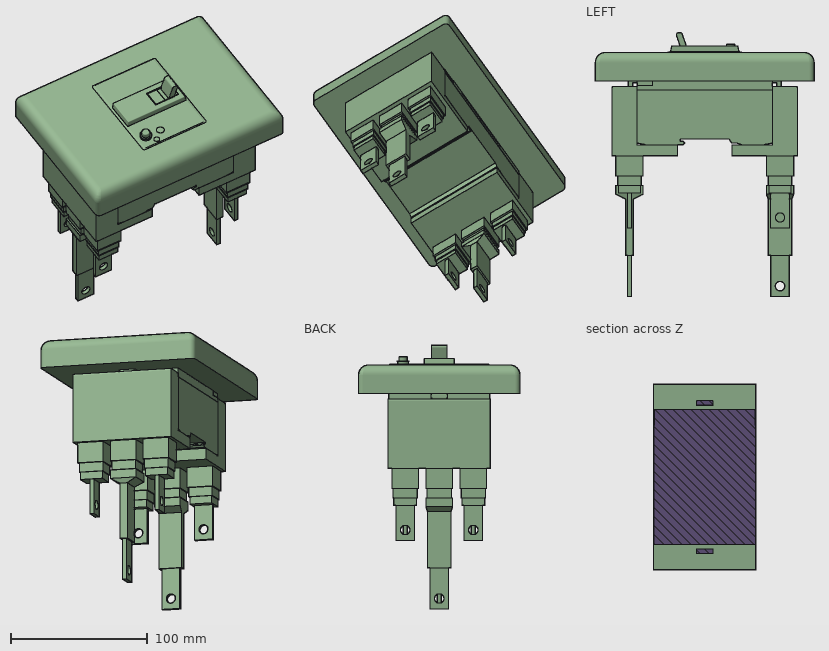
import cadquery as cq
import math


COVER_X = 118.0
COVER_Y = 160.0
COVER_HEIGHT = 21.0
COVER_CORNER_RADIUS = 3.5
COVER_TOP_RADIUS = 7.5

BODY_X = 74.9
BODY_Y = 98.8
BODY_BOTTOM = -46.5
UPPER_CASE_DEPTH = 6.5
UPPER_CASE_INSET = 0.2
SIDE_NOTCH_Y = 11.4
SIDE_NOTCH_HEIGHT = 3.3
SIDE_NOTCH_DEPTH = 0.5

RAIL_CEILING = -42.5
RAIL_HALF_Y = 17.8
RAMP_FOOT_Y = -19.7
FOOT_RELIEF = 1.2
FOOT_RELIEF_Y = 6.2
RAMP_LEDGE_Y = -23.5
RAMP_END_Y = -27.0
HOOK_TOP = -43.8
HOOK_REACH = 3.3

PLATE_X = 73.3
PLATE_Y = 54.0
PLATE_THICKNESS = 0.5
PLATE_TOP = COVER_HEIGHT + PLATE_THICKNESS
PLATE_SLOPE_X = 0.8
PLATE_SLOPE_Y = 2.0
PLATE_CORNER_RADIUS = 1.5

DECK_X = 22.2
DECK_FOOT_Y = PLATE_Y - 2 * PLATE_SLOPE_Y
DECK_TOP_Y = 48.5
DECK_TOP = 25.7
DECK_EDGE_RADIUS = 0.5
SLOT_X = 13.1
SLOT_FRONT_Y = 1.5
SLOT_STEP_Y = 10.0
SLOT_SHOULDER_Y = 17.4
SLOT_BACK_Y = 21.2
SLOT_DEPTH = 0.4
SLOT_RIM = 0.5
TOGGLE_X = 11.5
TOGGLE_TOP = 35.5
TOGGLE_FRONT_Y = 13.1
TOGGLE_THICKNESS = 4.5
TOGGLE_TILT = 19.0
TOGGLE_RADIUS = 1.7

BUTTON_CENTER = (26.5, -19.0)
BUTTON_COLLAR_RADIUS = 4.0
BUTTON_RIM_RADIUS = 4.5
BUTTON_RIM_HEIGHT = 0.4
BUTTON_COLLAR_TOP = 23.7
BUTTON_RADIUS = 3.0
BUTTON_EDGE_RADIUS = 0.5
BUTTON_TOP = 27.0
LAMP_CENTER = (26.2, -6.4)
LAMP_RADIUS = 2.9
DIMPLE_CENTER = (32.6, -13.3)
DIMPLE_RADIUS = 2.1
MARK_DEPTH = 0.2

BLOCK_X = BODY_X
BLOCK_TOP = -3.9
BLOCK_BOTTOM = -54.6
BLOCK_OUTER_Y = 68.0
BLOCK_INNER_Y = 19.9
BLOCK_BEVEL_HEIGHT = 1.5
BLOCK_BEVEL_Y = 0.4

TAB_X = 12.2
TAB_OUTER_Y = 56.0
TAB_LEG_INNER_Y = 52.5
TAB_ARM_HEIGHT = 1.4
TAB_CORNER_RADIUS = 0.8

TERMINAL_PITCH = 24.9
TERMINAL_Y = 55.0
SOCKET_Y = 20.0
SOCKET_X = 19.5
SOCKET_BOTTOM = -69.5
NECK_Y = 17.4
NECK_X = 18.0
NECK_BOTTOM = -76.2
SIDE_COLLAR_Y = 16.0
SIDE_COLLAR_X = 16.8
SIDE_COLLAR_BOTTOM = -81.6
CENTER_COLLAR_BOTTOM = -82.5
TAPER_BOTTOM = -86.2
SLEEVE_WIDTH = 17.4
SLEEVE_THICKNESS = 5.5
SLEEVE_BOTTOM = -127.3
BLADE_WIDTH = 13.7
BLADE_THICKNESS = 3.0
SIDE_BLADE_BOTTOM = -107.3
CENTER_BLADE_BOTTOM = -157.5
BLADE_HOLE_DIAMETER = 6.8
BLADE_HOLE_RISE = 7.7


def block(size_x, size_y, bottom, top, center=(0, 0)):
    """Box between two heights, centred at a point of the XY plane."""
    return (
        cq.Workplane("XY", origin=(center[0], center[1], bottom))
        .rect(size_x, size_y)
        .extrude(top - bottom)
    )


def tapered_block(bottom_size, top_size, bottom, top):
    """Loft between a rectangle at one height and a rectangle at another."""
    return (
        cq.Workplane("XY", origin=(0, 0, bottom))
        .rect(*bottom_size)
        .workplane(offset=top - bottom)
        .rect(*top_size)
        .loft(ruled=True)
    )


def disc(center, radius, bottom, top):
    """Upright cylinder between two heights."""
    return cq.Workplane("XY", origin=(*center, bottom)).circle(radius).extrude(top - bottom)


def side_profile(width, points):
    """Prism with a YZ outline, centred on X = 0."""
    return cq.Workplane("YZ").polyline(points).close().extrude(width / 2, both=True)


def face_plate_neck():
    """Straight neck that fills the opening of the cover."""
    return block(PLATE_X, PLATE_Y, 0, COVER_HEIGHT).edges("|Z").fillet(PLATE_CORNER_RADIUS)


def make_cover():
    cover = block(COVER_X, COVER_Y, 0, COVER_HEIGHT)
    cover = cover.faces(">Z").edges().fillet(COVER_TOP_RADIUS)
    cover = cover.edges("|Z").fillet(COVER_CORNER_RADIUS)
    return cover.cut(face_plate_neck())


def breaker_case():
    """Case with the rail recess and the relieved edges in its underside."""
    end_y = BODY_Y / 2
    relief_z = BODY_BOTTOM + FOOT_RELIEF
    outline = [
        (end_y, -UPPER_CASE_DEPTH),
        (end_y, relief_z),
        (end_y - FOOT_RELIEF_Y, BODY_BOTTOM),
        (RAIL_HALF_Y, BODY_BOTTOM),
        (RAIL_HALF_Y, RAIL_CEILING),
        (-RAIL_HALF_Y, RAIL_CEILING),
        (RAMP_FOOT_Y, relief_z),
        (RAMP_LEDGE_Y, relief_z),
        (RAMP_END_Y, BODY_BOTTOM),
        (-end_y + FOOT_RELIEF_Y, BODY_BOTTOM),
        (-end_y, relief_z),
        (-end_y, -UPPER_CASE_DEPTH),
    ]
    lower_case = side_profile(BODY_X, outline)
    upper_case = block(BODY_X - 2 * UPPER_CASE_INSET, BODY_Y, -UPPER_CASE_DEPTH, 0)
    notch_y = (BODY_Y - SIDE_NOTCH_Y) / 2
    for side in (-1, 1):
        notch_x = side * BODY_X / 2
        upper_case = upper_case.cut(
            block(2 * SIDE_NOTCH_DEPTH, SIDE_NOTCH_Y, -SIDE_NOTCH_HEIGHT, 0, (notch_x, notch_y))
        )
    return lower_case.union(upper_case)


def rail_hook():
    """Pointed catch that reaches into the rail recess."""
    tip_z = (HOOK_TOP + BODY_BOTTOM) / 2
    half_height = (HOOK_TOP - BODY_BOTTOM) / 2
    return side_profile(
        BODY_X,
        [
            (RAIL_HALF_Y, HOOK_TOP),
            (RAIL_HALF_Y - HOOK_REACH + half_height, HOOK_TOP),
            (RAIL_HALF_Y - HOOK_REACH, tip_z),
            (RAIL_HALF_Y - HOOK_REACH + half_height, BODY_BOTTOM),
            (RAIL_HALF_Y, BODY_BOTTOM),
        ],
    )


def plate_outline(inset_x, inset_y):
    """Rounded rectangle, brought in from the outer size of the face plate."""
    return (
        cq.Sketch()
        .rect(PLATE_X - 2 * inset_x, PLATE_Y - 2 * inset_y)
        .vertices()
        .fillet(PLATE_CORNER_RADIUS)
    )


def face_plate():
    """Thin plate with sloping edges on top of the cover."""
    rise = cq.Location(cq.Vector(0, 0, PLATE_THICKNESS))
    foot = plate_outline(0, 0)
    top = plate_outline(PLATE_SLOPE_X, PLATE_SLOPE_Y).moved(rise)
    return cq.Workplane("XY", origin=(0, 0, COVER_HEIGHT)).placeSketch(foot, top).loft()


def slot_recess(width, front_y, back_y, floor_z):
    """Cutter for one level of the slot in the deck."""
    return block(width, back_y - front_y, floor_z, DECK_TOP, (0, (front_y + back_y) / 2))


def deck():
    """Raised deck with a shallow slot that steps down and then narrows towards +Y."""
    body = tapered_block((DECK_X, DECK_FOOT_Y), (DECK_X, DECK_TOP_Y), PLATE_TOP, DECK_TOP)
    body = body.faces(">Z or >X or <X").edges("not <Z").fillet(DECK_EDGE_RADIUS)
    floor_z = DECK_TOP - SLOT_DEPTH
    deep_floor_z = floor_z - SLOT_DEPTH
    rim_z = DECK_TOP - SLOT_DEPTH / 2
    inner_width = SLOT_X - 2 * SLOT_RIM
    body = body.cut(slot_recess(SLOT_X, SLOT_FRONT_Y, SLOT_SHOULDER_Y, rim_z))
    body = body.cut(slot_recess(inner_width, SLOT_FRONT_Y + SLOT_RIM, SLOT_STEP_Y, floor_z))
    return body.cut(slot_recess(inner_width, SLOT_STEP_Y, SLOT_BACK_Y, deep_floor_z))


def toggle():
    """Lever that leans towards +Y, with a rounded top."""
    foot_z = DECK_TOP - 2 * SLOT_DEPTH
    tilt = math.radians(TOGGLE_TILT)
    slanted_y = TOGGLE_THICKNESS / math.cos(tilt)
    lean = (TOGGLE_TOP - foot_z) * math.tan(tilt)
    lever = side_profile(
        TOGGLE_X,
        [
            (TOGGLE_FRONT_Y, foot_z),
            (TOGGLE_FRONT_Y + lean, TOGGLE_TOP),
            (TOGGLE_FRONT_Y + lean + slanted_y, TOGGLE_TOP),
            (TOGGLE_FRONT_Y + slanted_y, foot_z),
        ],
    )
    return lever.faces(">Z").edges("|X").fillet(TOGGLE_RADIUS)


def test_button():
    """Round button on a collar with a thin rim."""
    collar = disc(BUTTON_CENTER, BUTTON_COLLAR_RADIUS, PLATE_TOP, BUTTON_COLLAR_TOP)
    rim_bottom = BUTTON_COLLAR_TOP - BUTTON_RIM_HEIGHT
    rim = disc(BUTTON_CENTER, BUTTON_RIM_RADIUS, rim_bottom, BUTTON_COLLAR_TOP)
    button = disc(BUTTON_CENTER, BUTTON_RADIUS, BUTTON_COLLAR_TOP, BUTTON_TOP)
    button = button.faces(">Z").edges().fillet(BUTTON_EDGE_RADIUS)
    return collar.union(rim).union(button)


def mounting_tab():
    """Arm on the +Y end of the breaker with a leg down to the block."""
    tab = side_profile(
        TAB_X,
        [
            (BODY_Y / 2, 0),
            (TAB_OUTER_Y, 0),
            (TAB_OUTER_Y, BLOCK_TOP),
            (TAB_LEG_INNER_Y, BLOCK_TOP),
            (TAB_LEG_INNER_Y, -TAB_ARM_HEIGHT),
            (BODY_Y / 2, -TAB_ARM_HEIGHT),
        ],
    )
    return tab.faces(">Y").edges().fillet(TAB_CORNER_RADIUS)


def make_breaker():
    breaker = breaker_case().union(rail_hook()).union(face_plate_neck()).union(face_plate())
    breaker = breaker.union(deck()).union(toggle())
    breaker = breaker.union(test_button())
    for center, radius in ((LAMP_CENTER, LAMP_RADIUS), (DIMPLE_CENTER, DIMPLE_RADIUS)):
        breaker = breaker.cut(disc(center, radius, PLATE_TOP - MARK_DEPTH, PLATE_TOP))
    tab = mounting_tab()
    return breaker.union(tab).union(tab.mirror("XZ"))


def make_terminal_block():
    """L-shaped block at +Y that wraps the end and the underside of the breaker."""
    return side_profile(
        BLOCK_X,
        [
            (BODY_Y / 2, BLOCK_TOP),
            (BLOCK_OUTER_Y - BLOCK_BEVEL_Y, BLOCK_TOP),
            (BLOCK_OUTER_Y, BLOCK_TOP - BLOCK_BEVEL_HEIGHT),
            (BLOCK_OUTER_Y, BLOCK_BOTTOM),
            (BLOCK_INNER_Y, BLOCK_BOTTOM),
            (BLOCK_INNER_Y, BODY_BOTTOM),
            (BODY_Y / 2, BODY_BOTTOM),
        ],
    )


def blade(top, bottom, width_along_x):
    """Flat blade with a cross hole near its lower end."""
    hole_z = bottom + BLADE_HOLE_RISE
    size = (BLADE_WIDTH, BLADE_THICKNESS) if width_along_x else (BLADE_THICKNESS, BLADE_WIDTH)
    hole_plane = "XZ" if width_along_x else "YZ"
    hole = (
        cq.Workplane(hole_plane, origin=(0, 0, hole_z))
        .circle(BLADE_HOLE_DIAMETER / 2)
        .extrude(BLADE_THICKNESS, both=True)
    )
    return block(*size, bottom, top).cut(hole)


def stepped_top():
    """Socket and neck below the block, the same for every terminal."""
    socket = block(SOCKET_X, SOCKET_Y, SOCKET_BOTTOM, BLOCK_BOTTOM)
    return socket.union(block(NECK_X, NECK_Y, NECK_BOTTOM, SOCKET_BOTTOM))


def make_side_terminal(width_along_x):
    """Short terminal: a small collar and a blade."""
    collar = block(SIDE_COLLAR_X, SIDE_COLLAR_Y, SIDE_COLLAR_BOTTOM, NECK_BOTTOM)
    tongue = blade(SIDE_COLLAR_BOTTOM, SIDE_BLADE_BOTTOM, width_along_x)
    return stepped_top().union(collar).union(tongue)


def make_center_terminal(width_along_x):
    """Long terminal: a collar that tapers to a flat sleeve, and a blade."""
    collar_size = (SOCKET_X, SOCKET_Y)
    sleeve_size = (SLEEVE_WIDTH, SLEEVE_THICKNESS) if width_along_x else (SLEEVE_THICKNESS, SLEEVE_WIDTH)
    terminal = stepped_top().union(block(*collar_size, CENTER_COLLAR_BOTTOM, NECK_BOTTOM))
    terminal = terminal.union(
        tapered_block(sleeve_size, collar_size, TAPER_BOTTOM, CENTER_COLLAR_BOTTOM)
    )
    terminal = terminal.union(block(*sleeve_size, SLEEVE_BOTTOM, TAPER_BOTTOM))
    return terminal.union(blade(SLEEVE_BOTTOM, CENTER_BLADE_BOTTOM, width_along_x))


cover = make_cover()
breaker = make_breaker()
back_block = make_terminal_block()
front_block = back_block.mirror("XZ")

terminals = []
for end in (1, -1):
    for column in (-1, 0, 1):
        make_terminal = make_center_terminal if column == 0 else make_side_terminal
        place = (column * TERMINAL_PITCH, end * TERMINAL_Y, 0)
        terminals.append(make_terminal(end > 0).translate(place))

result = cq.Compound.makeCompound(
    [
        cover.val(),
        breaker.val(),
        back_block.val(),
        front_block.val(),
        *[terminal.val() for terminal in terminals],
    ]
)